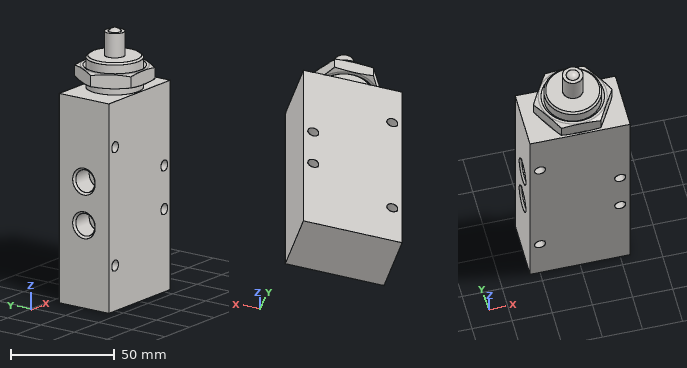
import cadquery as cq
import math

block_width = 50.0
block_depth = 30.0
block_height = 106.0
mid_height = block_height / 2

neck_diameter = 28.0
neck_top = 122.0
neck_chamfer = 1.0

plunger_diameter = 10.0
plunger_top = 134.2
dome_diameter = 6.4
total_height = 136

mount_diameter = 5.5
mount_offset_x = 20.0
port_side_mount_offset = 29.9
plain_side_mount_offset = 11.0

port_diameter = 11.4
port_mouth_diameter = 13.6
port_depth = 12.0
port_offset_z = 11.0
port_chamfer = (port_mouth_diameter - port_diameter) / 2

nut_flats = 34
nut_bottom = 109.9
nut_thickness = 7.2
nut_corners = nut_flats / math.cos(math.pi / 6)
nut_bevel_diameter = 33.5
nut_bevel_angle = math.radians(15)
nut_countersink = 1.4


def make_block():
    return cq.Workplane("XY").box(block_width, block_depth, block_height, centered=(True, True, False))


def make_neck():
    neck = cq.Workplane("XY").workplane(offset=block_height)
    neck = neck.circle(neck_diameter / 2).extrude(neck_top - block_height)
    return neck.faces(">Z").chamfer(neck_chamfer)


def make_plunger():
    """Pin whose tip is a spherical cap, revolved about Z."""
    radius = plunger_diameter / 2
    dome_radius = dome_diameter / 2
    dome_height = total_height - plunger_top
    sphere_radius = (dome_radius**2 + dome_height**2) / (2 * dome_height)
    sphere_center = total_height - sphere_radius
    half_angle = math.asin(dome_radius / sphere_radius) / 2
    arc_middle = (
        sphere_radius * math.sin(half_angle),
        sphere_center + sphere_radius * math.cos(half_angle),
    )
    return (
        cq.Workplane("XZ")
        .moveTo(0, block_height)
        .lineTo(radius, block_height)
        .lineTo(radius, plunger_top)
        .lineTo(dome_radius, plunger_top)
        .threePointArc(arc_middle, (0, total_height))
        .close()
        .revolve(360, (0, 0, 0), (0, 1, 0))
    )


def make_mount_holes():
    points = []
    for side in (-1, 1):
        points.append((-mount_offset_x, mid_height + side * port_side_mount_offset))
        points.append((mount_offset_x, mid_height + side * plain_side_mount_offset))
    return cq.Workplane("XZ").pushPoints(points).circle(mount_diameter / 2).extrude(block_depth, both=True)


def make_port(z):
    """Blind port with a chamfered mouth, revolved about its axis along X."""
    mouth_x = -block_width / 2
    bottom_x = mouth_x + port_depth
    bore_radius = port_diameter / 2
    return (
        cq.Workplane("XZ")
        .moveTo(mouth_x, z)
        .lineTo(mouth_x, z + port_mouth_diameter / 2)
        .lineTo(mouth_x + port_chamfer, z + bore_radius)
        .lineTo(bottom_x, z + bore_radius)
        .lineTo(bottom_x, z)
        .close()
        .revolve(360, (mouth_x, z, 0), (bottom_x, z, 0))
    )


def make_valve():
    valve = make_block().union(make_neck()).union(make_plunger()).cut(make_mount_holes())
    for side in (-1, 1):
        valve = valve.cut(make_port(mid_height + side * port_offset_z))
    return valve


def make_bevel_envelope():
    """Turned disc that bevels the nut corners on both faces."""
    bevel_radius = nut_bevel_diameter / 2
    corner_radius = nut_corners / 2
    bevel_drop = (corner_radius - bevel_radius) * math.tan(nut_bevel_angle)
    nut_top = nut_bottom + nut_thickness
    profile = [
        (0, nut_bottom),
        (bevel_radius, nut_bottom),
        (corner_radius, nut_bottom + bevel_drop),
        (corner_radius, nut_top - bevel_drop),
        (bevel_radius, nut_top),
        (0, nut_top),
    ]
    return cq.Workplane("XZ").polyline(profile).close().revolve(360, (0, 0, 0), (0, 1, 0))


def make_nut():
    nut = cq.Workplane("XY").workplane(offset=nut_bottom).polygon(6, nut_corners).extrude(nut_thickness)
    nut = nut.intersect(make_bevel_envelope())
    nut = nut.faces(">Z").workplane(origin=(0, 0, 0)).circle(neck_diameter / 2).cutThruAll()
    bore_edges = nut.edges(cq.selectors.RadiusNthSelector(0))
    return bore_edges.chamfer(nut_countersink)


valve = make_valve()
nut = make_nut()

result = cq.Compound.makeCompound([valve.val(), nut.val()])